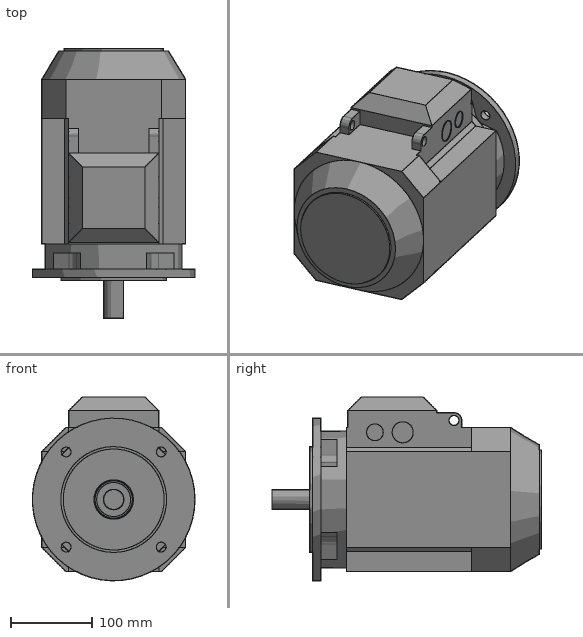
import cadquery as cq
import math

TIP_Y = 0.0
SPIGOT_FACE_Y = 46.5
FLANGE_FRONT_Y = 50.0
FLANGE_BACK_Y = 60.3
POCKET_BACK_Y = 80.2
BODY_FRONT_Y = 91.5
BOX_FRONT_Y = 93.0
BOX_BACK_Y = 203.0
NOTCH_BACK_Y = 245.3
BODY_BACK_Y = 293.5
COWL_BACK_Y = 328.5
REAR_Y = 331.5

BODY_HALF = 88.5
BODY_CORNER = 58.7
NOTCH_X = 55.5
NOTCH_Z = BODY_CORNER
NOTCH_CHAMFER = 5.3

COWL_FRONT_RADIUS = BODY_HALF
COWL_BACK_RADIUS = 67.3
REAR_DISC_RADIUS = 61.0

COLLAR_RADIUS = 84.2
FLANGE_DIAMETER = 200.0
FLANGE_RADIUS = FLANGE_DIAMETER / 2
SPIGOT_RADIUS = 65.0
RECESS_RADIUS = 62.0
RECESS_FLOOR_Y = 61.5
BOLT_CIRCLE_RADIUS = 82.5
BOLT_HOLE_RADIUS = 6.0
POCKET_RADIUS = 13.3
POCKET_HALF_ANGLE = 60.0

SHAFT_RADIUS = 12.3
SHOULDER_RADIUS = 12.5
SHOULDER_FRONT_Y = 52.7
RING_BASE_RADIUS = 24.2
RING_TOP_RADIUS = 23.0
RING_INNER_RADIUS = 21.0
RING_FRONT_Y = 54.5
RING_FLOOR_Y = RECESS_FLOOR_Y

BOX_HALF_WIDTH = NOTCH_X
BOX_SHOULDER_Z = 109.0
BOX_TOP_Z = 126.0
BOX_BEVEL = BOX_TOP_Z - BOX_SHOULDER_Z

LUG_THICKNESS = 12.3
LUG_TOP_Z = 106.7
LUG_HOLE_Y = 223.8
LUG_RADIUS = 9.5
LUG_HOLE_Z = LUG_TOP_Z - LUG_RADIUS
LUG_HOLE_RADIUS = 6.0

ENTRY_Z = 82.5
ENTRY_DEPTH = 1.0
CABLE_ENTRIES = ((160.8, 13.0), (126.5, 10.3))


def box_between(x0, x1, y0, y1, z0, z1):
    """Axis-aligned block between two opposite corners."""
    return cq.Workplane("XY").box(x1 - x0, y1 - y0, z1 - z0, centered=False).translate((x0, y0, z0))


def prism_along_y(points, y0, y1):
    """Closed polygon of (x, z) points swept from y0 to y1."""
    return cq.Workplane("XZ", origin=(0, y0, 0)).polyline(points).close().extrude(y0 - y1)


def cylinder_along_y(radius, y0, y1, x=0.0):
    """Cylinder from y0 to y1, offset sideways by x."""
    return cq.Workplane("XZ", origin=(0, y0, 0)).center(x, 0).circle(radius).extrude(y0 - y1)


def frame():
    """Octagonal prism whose four corners are stepped back ahead of the rear section."""
    octagon = [
        (BODY_CORNER, BODY_HALF), (BODY_HALF, BODY_CORNER),
        (BODY_HALF, -BODY_CORNER), (BODY_CORNER, -BODY_HALF),
        (-BODY_CORNER, -BODY_HALF), (-BODY_HALF, -BODY_CORNER),
        (-BODY_HALF, BODY_CORNER), (-BODY_CORNER, BODY_HALF),
    ]
    outside = 2 * BODY_HALF
    body = prism_along_y(octagon, BODY_FRONT_Y, BODY_BACK_Y)
    for side in (-1, 1):
        for level in (-1, 1):
            notch = [
                (side * NOTCH_X, level * outside),
                (side * NOTCH_X, level * (NOTCH_Z + NOTCH_CHAMFER)),
                (side * (NOTCH_X + NOTCH_CHAMFER), level * NOTCH_Z),
                (side * outside, level * NOTCH_Z),
                (side * outside, level * outside),
            ]
            body = body.cut(prism_along_y(notch, BODY_FRONT_Y, NOTCH_BACK_Y))
    return body


def revolved_parts():
    """Cowl, collar, flange, recessed spigot, seal ring and shaft as one turned solid."""
    profile = [
        (0, TIP_Y),
        (SHAFT_RADIUS, TIP_Y),
        (SHAFT_RADIUS, SHOULDER_FRONT_Y),
        (SHOULDER_RADIUS, SHOULDER_FRONT_Y),
        (SHOULDER_RADIUS, RING_FLOOR_Y),
        (RING_INNER_RADIUS, RING_FLOOR_Y),
        (RING_INNER_RADIUS, RING_FRONT_Y),
        (RING_TOP_RADIUS, RING_FRONT_Y),
        (RING_BASE_RADIUS, RECESS_FLOOR_Y),
        (RECESS_RADIUS, RECESS_FLOOR_Y),
        (RECESS_RADIUS, SPIGOT_FACE_Y),
        (SPIGOT_RADIUS, SPIGOT_FACE_Y),
        (SPIGOT_RADIUS, FLANGE_FRONT_Y),
        (FLANGE_RADIUS, FLANGE_FRONT_Y),
        (FLANGE_RADIUS, FLANGE_BACK_Y),
        (COLLAR_RADIUS, FLANGE_BACK_Y),
        (COLLAR_RADIUS, BODY_BACK_Y),
        (COWL_FRONT_RADIUS, BODY_BACK_Y),
        (COWL_BACK_RADIUS, COWL_BACK_Y),
        (REAR_DISC_RADIUS, COWL_BACK_Y),
        (REAR_DISC_RADIUS, REAR_Y),
        (0, REAR_Y),
    ]
    return cq.Workplane("XY").polyline(profile).close().revolve(360, (0, 0, 0), (0, 1, 0))


def bolt_cuts():
    """Bolt holes through the flange, each with a flared pocket in the collar behind it."""
    half = math.radians(POCKET_HALF_ANGLE)
    tangent = (BOLT_CIRCLE_RADIUS - POCKET_RADIUS * math.sin(half), POCKET_RADIUS * math.cos(half))
    reach = FLANGE_RADIUS - tangent[0]
    mouth = (FLANGE_RADIUS, tangent[1] + reach * math.tan(half))
    pocket = (
        cq.Workplane("XZ", origin=(0, FLANGE_BACK_Y, 0))
        .moveTo(*mouth)
        .lineTo(*tangent)
        .threePointArc((BOLT_CIRCLE_RADIUS - POCKET_RADIUS, 0), (tangent[0], -tangent[1]))
        .lineTo(mouth[0], -mouth[1])
        .close()
        .extrude(FLANGE_BACK_Y - POCKET_BACK_Y)
    )
    hole = cylinder_along_y(BOLT_HOLE_RADIUS, FLANGE_FRONT_Y, FLANGE_BACK_Y, x=BOLT_CIRCLE_RADIUS)
    cut = pocket.union(hole)
    cuts = cq.Workplane("XY")
    for angle in (45, 135, 225, 315):
        cuts = cuts.add(cut.rotate((0, 0, 0), (0, 1, 0), angle))
    return cuts.combine()


def terminal_box():
    """Block standing on the frame, bevelled all round its lid."""
    base = box_between(-BOX_HALF_WIDTH, BOX_HALF_WIDTH, BOX_FRONT_Y, BOX_BACK_Y, 0, BOX_TOP_Z)
    return base.faces(">Z").chamfer(BOX_BEVEL)


def lifting_lug(x0):
    """Rounded ear with a cross hole, running forward into the terminal box."""
    plate = box_between(x0, x0 + LUG_THICKNESS, BOX_BACK_Y - BOX_BEVEL, LUG_HOLE_Y + LUG_RADIUS, 0, LUG_TOP_Z)
    plate = plate.edges(">Y and >Z").fillet(LUG_RADIUS)
    hole = (
        cq.Workplane("YZ", origin=(x0, 0, 0))
        .center(LUG_HOLE_Y, LUG_HOLE_Z)
        .circle(LUG_HOLE_RADIUS)
        .extrude(LUG_THICKNESS)
    )
    return plate.cut(hole)


def cable_entry(y, radius):
    """Pair of shallow round recesses, one in each side wall of the terminal box."""
    drum = (
        cq.Workplane("YZ", origin=(-BOX_HALF_WIDTH, 0, 0))
        .center(y, ENTRY_Z)
        .circle(radius)
        .extrude(2 * BOX_HALF_WIDTH)
    )
    inner = BOX_HALF_WIDTH - ENTRY_DEPTH
    body_core = box_between(-inner, inner, BOX_FRONT_Y, BOX_BACK_Y, 0, BOX_TOP_Z)
    return drum.cut(body_core)


result = frame().union(revolved_parts().cut(bolt_cuts())).union(terminal_box())
for lug_x in (-BOX_HALF_WIDTH, BOX_HALF_WIDTH - LUG_THICKNESS):
    result = result.union(lifting_lug(lug_x))
for entry_y, entry_radius in CABLE_ENTRIES:
    result = result.cut(cable_entry(entry_y, entry_radius))